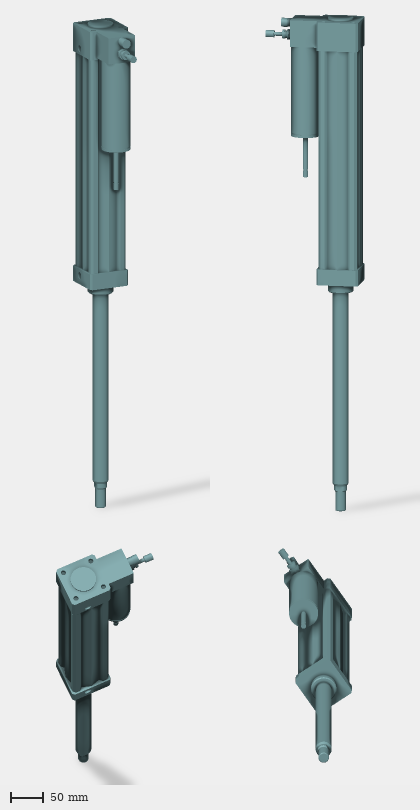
import cadquery as cq
import math

TOTAL_HEIGHT = 778.0

BLOCK_SIDE = 65.0
BLOCK_CHAMFER = 3.0
COVER_DIA = 40.0
COVER_HEIGHT = 3.0
HEAD_TOP = TOTAL_HEIGHT - COVER_HEIGHT
HEAD_HEIGHT = 45.0
HEAD_BOTTOM = HEAD_TOP - HEAD_HEIGHT
FOOT_TOP = 385.0
FOOT_HEIGHT = 25.0
FOOT_BOTTOM = FOOT_TOP - FOOT_HEIGHT

SCREW_HOLE_DIA = 8.0
SCREW_HOLE_DEPTH = 6.0
SCREW_SPACING = 47.0

SIDE_HOLE_DIA = 11.0
SIDE_HOLE_DEPTH = 8.0
DRILL_POINT_ANGLE = 118
SIDE_HOLE_X = -7.0
HEAD_HOLE_Z = HEAD_BOTTOM + 9.0
FOOT_HOLE_Z = FOOT_TOP - 11.0

TUBE_HALF_SIDE = 30.0
TUBE_CHAMFER = 4.0
GROOVE_OUTER = 19.5
GROOVE_DEPTH = 5.0
GROOVE_INNER = GROOVE_OUTER - GROOVE_DEPTH

BUSH_DIA = 40.0
BUSH_LENGTH = 15.0
BUSH_CHAMFER = 1.5
BUSH_BOTTOM = FOOT_BOTTOM - BUSH_LENGTH

ROD_DIA = 25.0
COLLAR_DIA = 20.0
THREAD_DIA = 16.0
THREAD_CHAMFER = 1.2
FLATS_WIDTH = THREAD_DIA
SHANK_BOTTOM = 43.5
SHOULDER_BOTTOM = 40.0
COLLAR_BOTTOM = 33.0
THREAD_TOP = 30.0

ARM_WIDTH = 45.0
ARM_HEIGHT = 42.0
ARM_END_X = 75.5
ARM_BOTTOM = HEAD_TOP - ARM_HEIGHT

MOTOR_DIA = 45.0
MOTOR_X = 55.0
MOTOR_BOTTOM = 590.0
MOTOR_GROOVE_Z = 594.5
TAIL_DIA = 8.0
TAIL_BOTTOM = 524.0
TAIL_GROOVE_Z = 535.0
GROOVE_WIDTH = 2.0
GROOVE_CUT = 1.0

PLUG_Z = HEAD_TOP - 8.0
PLUG_STEPS = [(13.0, 83.0), (14.0, 92.5)]
CABLE_Z = HEAD_TOP - 26.5
CABLE_STEPS = [(12.0, 80.0), (16.0, 83.0), (12.0, 87.0), (14.0, 91.0), (6.0, 104.0), (11.0, 117.5)]
NUT_CORNER_DIA = 16.0
NUT_SIDES = 6
NUT_LENGTH = CABLE_STEPS[0][1] - ARM_END_X


def cylinder(diameter, bottom, top, x=0.0):
    """Upright cylinder between two heights, with its axis at the given X."""
    return cq.Workplane("XY", origin=(x, 0, bottom)).circle(diameter / 2).extrude(top - bottom)


def square_block(bottom, height):
    """Square block on the rod axis with chamfered upright edges."""
    block = cq.Workplane("XY", origin=(0, 0, bottom)).rect(BLOCK_SIDE, BLOCK_SIDE).extrude(height)
    return block.edges("|Z").chamfer(BLOCK_CHAMFER)


def tube_profile():
    """Closed outline of the tube: one side's points turned through four quarter turns."""
    face = TUBE_HALF_SIDE
    corner = face - TUBE_CHAMFER
    side = [
        (face, -corner),
        (face, -GROOVE_OUTER),
        (face - GROOVE_DEPTH, -GROOVE_INNER),
        (face, 0),
        (face - GROOVE_DEPTH, GROOVE_INNER),
        (face, GROOVE_OUTER),
        (face, corner),
    ]
    outline = []
    for quarter in range(4):
        angle = quarter * math.pi / 2
        cosine, sine = math.cos(angle), math.sin(angle)
        outline += [(x * cosine - y * sine, x * sine + y * cosine) for x, y in side]
    return outline


def make_tube():
    start = cq.Workplane("XY", origin=(0, 0, FOOT_TOP))
    return start.polyline(tube_profile()).close().extrude(HEAD_BOTTOM - FOOT_TOP)


def make_arm():
    start = cq.Workplane("XY", origin=(ARM_END_X / 2, 0, ARM_BOTTOM))
    return start.rect(ARM_END_X, ARM_WIDTH).extrude(ARM_HEIGHT)


def add_connector(base, z, steps):
    """Base with a stepped round connector added, pointing to +X from the end of the arm."""
    start_x = ARM_END_X
    for diameter, end_x in steps:
        step = cq.Workplane("YZ", origin=(start_x, 0, z)).circle(diameter / 2).extrude(end_x - start_x)
        base = base.union(step)
        start_x = end_x
    return base


def make_nut():
    """Hexagon nut at the root of the cable connector, with corners at its top and bottom."""
    corner_radius = NUT_CORNER_DIA / 2
    corners = []
    for index in range(NUT_SIDES):
        angle = math.pi / 2 + index * 2 * math.pi / NUT_SIDES
        corners.append((corner_radius * math.cos(angle), corner_radius * math.sin(angle)))
    start = cq.Workplane("YZ", origin=(ARM_END_X, 0, CABLE_Z))
    return start.polyline(corners).close().extrude(NUT_LENGTH)


def side_hole(z):
    """Cutter for a blind hole with a drill point, going into a -Y block face."""
    radius = SIDE_HOLE_DIA / 2
    face_y = -BLOCK_SIDE / 2
    wall_end_y = face_y + SIDE_HOLE_DEPTH
    tip_y = wall_end_y + radius / math.tan(math.radians(DRILL_POINT_ANGLE / 2))
    profile = [(0, face_y), (radius, face_y), (radius, wall_end_y), (0, tip_y)]
    drill = cq.Workplane("XY").polyline(profile).close().revolve(360, (0, 0), (0, 1))
    return drill.translate((SIDE_HOLE_X, 0, z))


def screw_holes():
    """Cutters for the four screw holes in the top of the head."""
    start = cq.Workplane("XY", origin=(0, 0, HEAD_TOP))
    pattern = start.rect(SCREW_SPACING, SCREW_SPACING, forConstruction=True)
    return pattern.vertices().circle(SCREW_HOLE_DIA / 2).extrude(-SCREW_HOLE_DEPTH)


def make_housing():
    """Head, tube, foot, bush, arm and connectors, bored at the bottom for the rod."""
    bush = cylinder(BUSH_DIA, BUSH_BOTTOM, FOOT_BOTTOM).faces("<Z").chamfer(BUSH_CHAMFER)
    housing = (
        square_block(HEAD_BOTTOM, HEAD_HEIGHT)
        .union(cylinder(COVER_DIA, HEAD_TOP, TOTAL_HEIGHT))
        .union(make_tube())
        .union(square_block(FOOT_BOTTOM, FOOT_HEIGHT))
        .union(bush)
        .union(make_arm())
        .union(make_nut())
    )
    housing = add_connector(housing, PLUG_Z, PLUG_STEPS)
    housing = add_connector(housing, CABLE_Z, CABLE_STEPS)
    for cutter in (screw_holes(), side_hole(HEAD_HOLE_Z), side_hole(FOOT_HOLE_Z)):
        housing = housing.cut(cutter)
    return housing.cut(cylinder(ROD_DIA, BUSH_BOTTOM, FOOT_TOP))


def make_rod():
    """Turned rod seated in the bush and foot, with two flats facing +Y and -Y on the collar."""
    profile = [
        (0, 0),
        (THREAD_DIA / 2 - THREAD_CHAMFER, 0),
        (THREAD_DIA / 2, THREAD_CHAMFER),
        (THREAD_DIA / 2, THREAD_TOP),
        (COLLAR_DIA / 2, COLLAR_BOTTOM),
        (COLLAR_DIA / 2, SHOULDER_BOTTOM),
        (ROD_DIA / 2, SHANK_BOTTOM),
        (ROD_DIA / 2, FOOT_TOP),
        (0, FOOT_TOP),
    ]
    rod = cq.Workplane("XZ").polyline(profile).close().revolve(360, (0, 0), (0, 1))
    flats_height = SHOULDER_BOTTOM - THREAD_TOP
    band = cq.Workplane("XY", origin=(0, 0, THREAD_TOP))
    flats = band.rect(ROD_DIA, ROD_DIA).rect(ROD_DIA, FLATS_WIDTH).extrude(flats_height)
    return rod.cut(flats)


def ring_groove(diameter, z):
    """Cutter for a shallow groove around a cylinder on the motor axis, centred on the height z."""
    start = cq.Workplane("XY", origin=(MOTOR_X, 0, z - GROOVE_WIDTH / 2))
    return start.circle(diameter / 2).circle(diameter / 2 - GROOVE_CUT).extrude(GROOVE_WIDTH)


def make_motor():
    """Motor cylinder and its tail, each with a shallow groove near the lower end."""
    body = cylinder(MOTOR_DIA, MOTOR_BOTTOM, ARM_BOTTOM, MOTOR_X)
    body = body.cut(ring_groove(MOTOR_DIA, MOTOR_GROOVE_Z))
    tail = cylinder(TAIL_DIA, TAIL_BOTTOM, MOTOR_BOTTOM, MOTOR_X)
    tail = tail.cut(ring_groove(TAIL_DIA, TAIL_GROOVE_Z))
    return body.union(tail)


housing = make_housing()
rod = make_rod()
motor = make_motor()

result = cq.Compound.makeCompound([housing.val(), rod.val(), motor.val()])